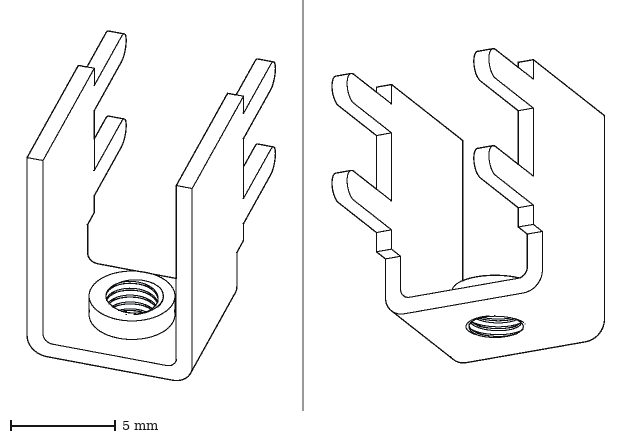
import cadquery as cq

width = 8.32
length = 13.0
height = 11.5
thickness = 0.8
bend_outer_radius = 1.0
bend_inner_radius = 0.5
wall_length = 8.01
floor_length = 7.0
notch_height = 3.0

pin_width = 1.5
lower_pin_height = 4.75
pin_spacing = 5.0
pin_round_radius = pin_width / 2
pin_straight_end = length - pin_round_radius

boss_diameter = 4.12
boss_top = 1.9
boss_center_y = floor_length / 2
hole_diameter = 2.5
thread_diameter = 3.0
thread_pitch = 0.4
groove_mouth_width = 0.34
groove_root_width = 0.09
groove_overlap = 0.05
thread_start_angle = 110.0
thread_overrun = thread_pitch


def rounded_bar(bar_width, bottom_z, bottom_radius):
    """Bar along Y from bottom_z to the full height, with its two lower long edges rounded."""
    return (
        cq.Workplane("XY", origin=(0, 0, bottom_z))
        .box(bar_width, wall_length, height - bottom_z, centered=(True, False, False))
        .edges("|Y and <Z")
        .fillet(bottom_radius)
    )


def u_channel():
    """Bent strip with open top, running along Y over the full wall length."""
    outside = rounded_bar(width, 0, bend_outer_radius)
    inside = rounded_bar(width - 2 * thickness, thickness, bend_inner_radius)
    return outside.cut(inside)


def notch():
    """Block that shortens the floor and the bends at the back."""
    return cq.Workplane("XY", origin=(0, floor_length, 0)).box(
        width, wall_length - floor_length, notch_height, centered=(True, False, False)
    )


def pins(wall_outer_x):
    """Two round-ended pins of one side wall, growing in +X from wall_outer_x."""
    blades = cq.Workplane("YZ", origin=(wall_outer_x, 0, 0))
    for center_z in (lower_pin_height, lower_pin_height + pin_spacing):
        blades = (
            blades.moveTo(wall_length, center_z - pin_round_radius)
            .lineTo(pin_straight_end, center_z - pin_round_radius)
            .threePointArc((length, center_z), (pin_straight_end, center_z + pin_round_radius))
            .lineTo(wall_length, center_z + pin_round_radius)
            .close()
        )
    return blades.extrude(thickness)


def cylinder(diameter):
    """Upright cylinder on the boss axis, from the underside to the boss top."""
    return cq.Workplane("XY", origin=(0, boss_center_y, 0)).circle(diameter / 2).extrude(boss_top)


def thread_groove():
    """Helical groove that runs past both ends of the hole."""
    base_radius = hole_diameter / 2 - groove_overlap
    run = boss_top + 2 * thread_overrun
    path = cq.Wire.makeHelix(thread_pitch, run, base_radius)
    groove = (
        cq.Workplane("XZ")
        .polyline([
            (base_radius, -groove_mouth_width / 2),
            (thread_diameter / 2, -groove_root_width / 2),
            (thread_diameter / 2, groove_root_width / 2),
            (base_radius, groove_mouth_width / 2),
        ])
        .close()
        .sweep(cq.Workplane(obj=path), isFrenet=True)
    )
    return groove.rotate((0, 0, 0), (0, 0, 1), thread_start_angle).translate(
        (0, boss_center_y, -thread_overrun)
    )


bracket = u_channel().cut(notch())
for wall_outer_x in (-width / 2, width / 2 - thickness):
    bracket = bracket.union(pins(wall_outer_x))

bracket = bracket.union(cylinder(boss_diameter))

result = bracket.cut(thread_groove()).cut(cylinder(hole_diameter))